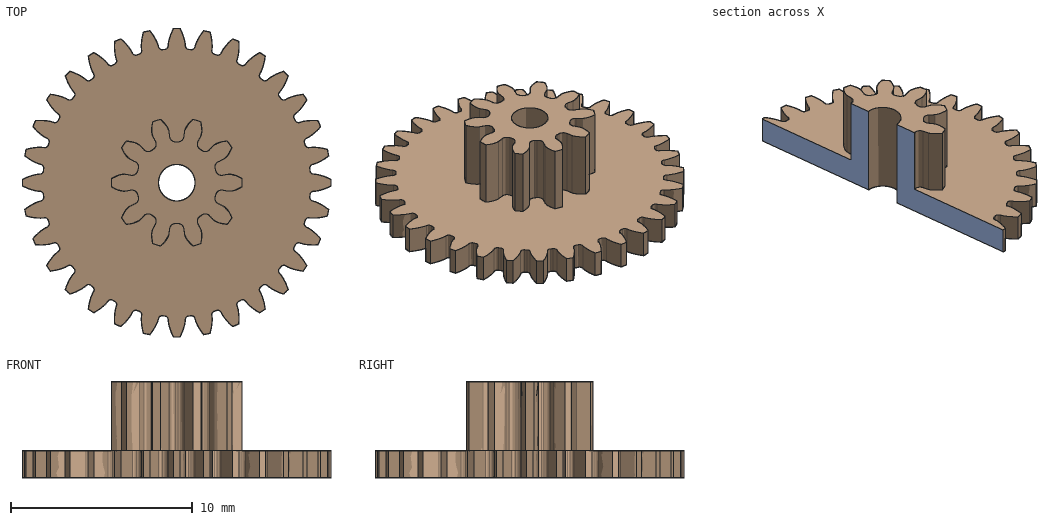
import cadquery as cq
import math

WHEEL_TEETH = 32
WHEEL_MODULE = 0.5
WHEEL_PRESSURE_ANGLE = math.radians(20)
WHEEL_ROOT_FILLET = 0.19
WHEEL_THICKNESS = 1.5

PINION_TEETH = 10
PINION_MODULE = 0.6
PINION_PRESSURE_ANGLE = math.radians(14.5)
PINION_ROOT_FILLET = 0.32
PINION_WAIST = 0.82

TOTAL_HEIGHT = 5.3
BORE_DIAMETER = 2.0

ADDENDUM = 1.0
DEDENDUM = 1.25

FLANK_STEPS = 5


def polar(radius, angle):
    return (radius * math.cos(angle), radius * math.sin(angle))


def involute(angle):
    return math.tan(angle) - angle


def tooth_half_angle(radius, teeth, pitch_radius, pressure_angle):
    """Half the angle an involute tooth spans at a radius; constant below the base circle."""
    base_radius = pitch_radius * math.cos(pressure_angle)
    local_angle = math.acos(min(1.0, base_radius / radius))
    return math.pi / (2 * teeth) + involute(pressure_angle) - involute(local_angle)


def gear(teeth, module, pressure_angle, fillet_radius, height, waist=None):
    """Spur gear standing on Z = 0 with one tooth centred on +X.

    A waist narrows the foot of the tooth, joined to the involute by a straight undercut.
    """
    pitch_radius = teeth * module / 2
    base_radius = pitch_radius * math.cos(pressure_angle)
    tip_radius = pitch_radius + ADDENDUM * module
    root_radius = pitch_radius - DEDENDUM * module

    fillet_centre_radius = root_radius + fillet_radius
    foot_radius = math.sqrt(fillet_centre_radius**2 - fillet_radius**2)
    fillet_angle = math.asin(fillet_radius / fillet_centre_radius)

    flank_start = max(base_radius, foot_radius)
    flank_step = (tip_radius - flank_start) / FLANK_STEPS
    flank = []
    for step in range(FLANK_STEPS + 1):
        radius = flank_start + step * flank_step
        flank.append((radius, tooth_half_angle(radius, teeth, pitch_radius, pressure_angle)))

    if waist is None:
        foot_angle = tooth_half_angle(foot_radius, teeth, pitch_radius, pressure_angle)
    else:
        foot_angle = math.asin(waist / 2 / foot_radius)
    root_angle = foot_angle + fillet_angle

    centre_x, centre_y = polar(fillet_centre_radius, root_angle)
    foot_direction = foot_angle - math.pi / 2
    root_direction = root_angle - math.pi
    offset_x, offset_y = polar(fillet_radius, (foot_direction + root_direction) / 2)
    fillet_middle = (centre_x + offset_x, centre_y + offset_y)
    fillet_middle_radius = math.hypot(*fillet_middle)
    fillet_middle_angle = math.atan2(fillet_middle[1], fillet_middle[0])

    pitch_angle = 2 * math.pi / teeth
    outline = cq.Workplane("XY").moveTo(*polar(root_radius, -root_angle))
    for tooth in range(teeth):
        centre = tooth * pitch_angle
        rising = [polar(radius, centre - angle) for radius, angle in flank]
        falling = [polar(radius, centre + angle) for radius, angle in reversed(flank)]

        outline = outline.threePointArc(
            polar(fillet_middle_radius, centre - fillet_middle_angle),
            polar(foot_radius, centre - foot_angle),
        )
        if foot_radius < flank_start:
            outline = outline.lineTo(*rising[0])
        outline = outline.spline(rising[1:], includeCurrent=True)
        outline = outline.threePointArc(polar(tip_radius, centre), falling[0])
        outline = outline.spline(falling[1:], includeCurrent=True)
        if foot_radius < flank_start:
            outline = outline.lineTo(*polar(foot_radius, centre + foot_angle))
        outline = outline.threePointArc(
            polar(fillet_middle_radius, centre + fillet_middle_angle),
            polar(root_radius, centre + root_angle),
        )
        outline = outline.threePointArc(
            polar(root_radius, centre + pitch_angle / 2),
            polar(root_radius, centre + pitch_angle - root_angle),
        )
    return outline.close().extrude(height)


wheel = gear(WHEEL_TEETH, WHEEL_MODULE, WHEEL_PRESSURE_ANGLE, WHEEL_ROOT_FILLET, WHEEL_THICKNESS)
pinion = gear(
    PINION_TEETH,
    PINION_MODULE,
    PINION_PRESSURE_ANGLE,
    PINION_ROOT_FILLET,
    TOTAL_HEIGHT,
    PINION_WAIST,
)
bore = cq.Workplane("XY").circle(BORE_DIAMETER / 2).extrude(TOTAL_HEIGHT)

result = wheel.union(pinion).cut(bore)